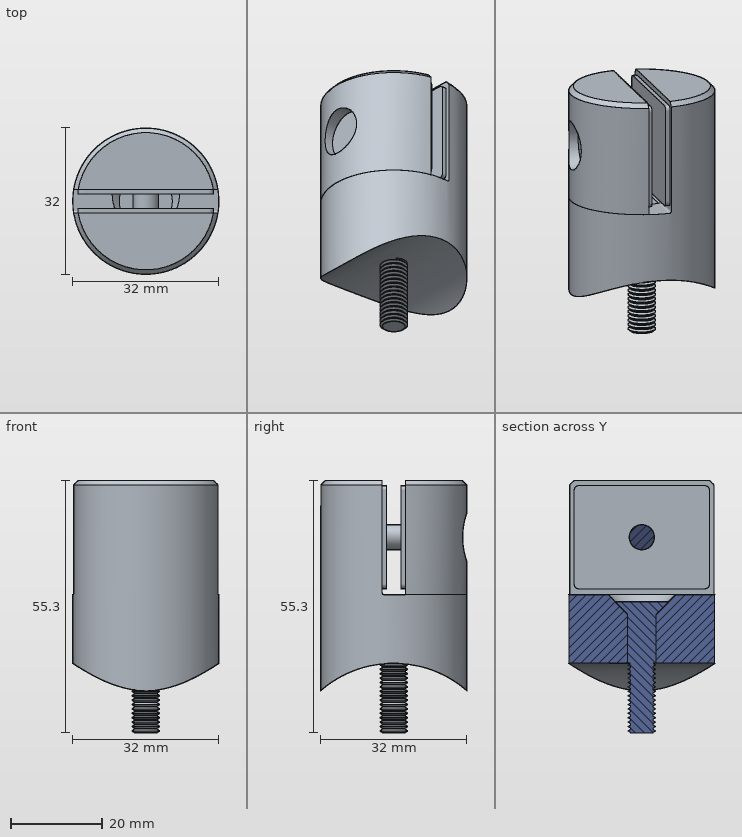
import cadquery as cq

body_radius = 16.005
total_height = 55.3
top_chamfer = 1.0
saddle_crest_z = 15.25
saddle_radius = 24.3

slot_floor_z = 30.3
slot_half_width = 2.55
slot_corner_fillet = 0.5

pad_thickness = 1.0
pad_width = 29.6
pad_height = 22.55
pad_top_gap = 1.15
pad_corner_fillet = 1.0

clamp_screw_z = 42.85
clamp_screw_radius = 2.75
clamp_head_radius = 5.35
clamp_head_height = 5.0
head_seat_y = 8.0
clamp_screw_tip_y = -9.95

recess_depth = 1.55
recess_top_radius = 7.35
recess_top_offset = 1.3
mount_head_radius = 5.8
thread_major_radius = 3.05
thread_minor_radius = 2.5
thread_crest_flat = 0.05
thread_ridge_half_base = 0.4
thread_ridges = 16
highest_ridge_z = 14.9

thread_pitch = highest_ridge_z / (thread_ridges - 0.5)
thread_end_z = thread_ridges * thread_pitch
slot_height = total_height - slot_floor_z
recess_floor_z = slot_floor_z - recess_depth
mount_head_bottom_z = recess_floor_z - (mount_head_radius - thread_major_radius)


def y_cylinder(radius, y_from, y_to):
    """Cylinder along Y at the height of the clamp screw."""
    return cq.Workplane("XZ", origin=(0, y_to, clamp_screw_z)).circle(radius).extrude(y_to - y_from)


def make_round_blank():
    """Full round body with a chamfered top and a pipe saddle cut along X in its underside."""
    blank = cq.Workplane("XY").circle(body_radius).extrude(total_height)
    blank = blank.faces(">Z").chamfer(top_chamfer)
    pipe = (
        cq.Workplane("YZ", origin=(0, 0, saddle_crest_z - saddle_radius))
        .circle(saddle_radius)
        .extrude(body_radius, both=True)
    )
    return blank.cut(pipe)


def make_jaw_space():
    """Space above the ledge and behind the fixed jaw, with a rounded inner corner."""
    return (
        cq.Workplane("XY")
        .box(2 * body_radius, body_radius + slot_half_width, slot_height, centered=(True, False, False))
        .edges("|X and <Y and <Z")
        .fillet(slot_corner_fillet)
        .translate((0, -slot_half_width, slot_floor_z))
    )


def make_head_recess():
    """Tapered pit in the slot floor whose mouth is set off towards the loose jaw."""
    return (
        cq.Workplane("XY", origin=(0, 0, recess_floor_z))
        .circle(mount_head_radius)
        .workplane(offset=recess_depth)
        .center(0, recess_top_offset)
        .circle(recess_top_radius)
        .loft(ruled=True)
    )


def make_mounting_screw():
    """Countersunk screw with plain ring-shaped thread ridges below the saddle."""
    half_flat = thread_crest_flat / 2
    outline = [(0, 0), (thread_minor_radius, 0)]
    for i in range(thread_ridges):
        ridge_z = (i + 0.5) * thread_pitch
        outline.append((thread_minor_radius, ridge_z - thread_ridge_half_base))
        outline.append((thread_major_radius, ridge_z - half_flat))
        outline.append((thread_major_radius, ridge_z + half_flat))
        outline.append((thread_minor_radius, ridge_z + thread_ridge_half_base))
    outline += [
        (thread_minor_radius, thread_end_z),
        (thread_major_radius, thread_end_z),
        (thread_major_radius, mount_head_bottom_z),
        (mount_head_radius, recess_floor_z),
        (0, recess_floor_z),
    ]
    return cq.Workplane("XZ").polyline(outline).close().revolve(360, (0, 0, 0), (0, 1, 0))


def make_clamp_screw():
    """Round-headed screw joining the loose jaw to the fixed jaw."""
    shank = y_cylinder(clamp_screw_radius, clamp_screw_tip_y, head_seat_y)
    head = y_cylinder(clamp_head_radius, head_seat_y, head_seat_y + clamp_head_height)
    return shank.union(head)


def make_pad(start_y):
    """Liner pad with rounded corners, spanning one pad thickness from start_y towards +Y."""
    centre_z = total_height - pad_top_gap - pad_height / 2
    return (
        cq.Workplane("XY")
        .box(pad_width, pad_thickness, pad_height, centered=(True, False, True))
        .edges("|Y")
        .fillet(pad_corner_fillet)
        .translate((0, start_y, centre_z))
        .cut(clamp_screw)
    )


mounting_screw = make_mounting_screw()
clamp_screw = make_clamp_screw()
round_blank = make_round_blank()

housing = round_blank.cut(make_jaw_space()).cut(make_head_recess())
housing = housing.cut(mounting_screw).cut(clamp_screw)

loose_jaw_space = cq.Workplane("XY", origin=(0, slot_half_width, slot_floor_z)).box(
    2 * body_radius, body_radius, slot_height, centered=(True, False, False)
)
head_bore = y_cylinder(clamp_head_radius, head_seat_y, body_radius)
loose_jaw = round_blank.intersect(loose_jaw_space).cut(head_bore).cut(clamp_screw)

pads = [make_pad(start_y) for start_y in (-slot_half_width, slot_half_width - pad_thickness)]

result = cq.Compound.makeCompound(
    [housing.val(), loose_jaw.val(), clamp_screw.val(), mounting_screw.val()]
    + [pad.val() for pad in pads]
)